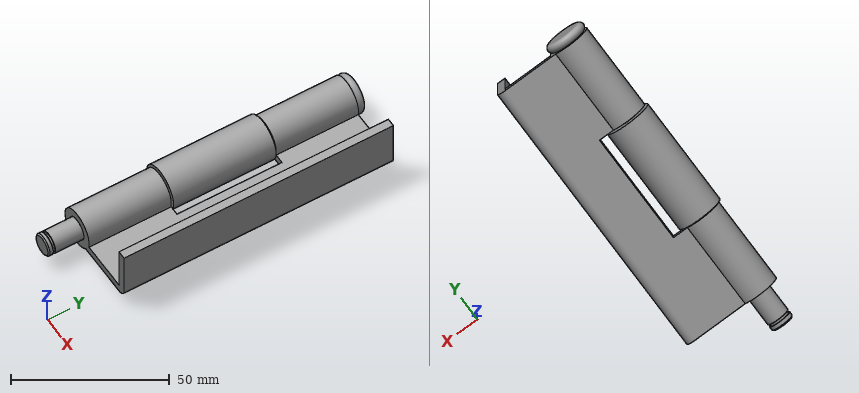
import cadquery as cq


LEAF_LENGTH = 100.0
LEAF_THICKNESS = 3.0
LEAF_BOTTOM = -5.0
LEAF_TOP = LEAF_BOTTOM + LEAF_THICKNESS
FLANGE_OUTER_X = 28.0
FLANGE_INNER_X = FLANGE_OUTER_X - LEAF_THICKNESS
FLANGE_TOP = 15.0
BEND_RADIUS = LEAF_THICKNESS
KNUCKLE_DIAMETER = 14.3
KNUCKLE_RADIUS = KNUCKLE_DIAMETER / 2
KNUCKLE_LENGTH = 30.5
BORE_DIAMETER = 8.2
NOTCH_DEPTH_X = 10.5

SLEEVE_RADIUS = 8.0
SLEEVE_LENGTH = 38.0
SLEEVE_GAP = 0.3

PIN_DIAMETER = 8.0
PIN_RADIUS = PIN_DIAMETER / 2
PIN_PROJECTION = 13.0
PIN_CHAMFER = 0.5
TIP_LENGTH = 1.7
GROOVE_WIDTH = 0.8
GROOVE_DEPTH = 0.5
HEAD_RADIUS = 7.1
HEAD_THICKNESS = 3.0
HEAD_RIM_ROUND = HEAD_THICKNESS / 2


def cylinder(radius, start, length):
    """Cylinder on the hinge axis, from Y = start toward +Y."""
    return cq.Workplane("XZ", origin=(0, start, 0)).circle(radius).extrude(-length)


def make_leaf():
    """Angle-shaped leaf with a knuckle at each end and a notch between them."""
    angle = (
        cq.Workplane("XZ")
        .moveTo(0, LEAF_BOTTOM)
        .lineTo(FLANGE_OUTER_X - BEND_RADIUS, LEAF_BOTTOM)
        .radiusArc((FLANGE_OUTER_X, LEAF_BOTTOM + BEND_RADIUS), -BEND_RADIUS)
        .lineTo(FLANGE_OUTER_X, FLANGE_TOP)
        .lineTo(FLANGE_INNER_X, FLANGE_TOP)
        .lineTo(FLANGE_INNER_X, LEAF_TOP)
        .lineTo(KNUCKLE_RADIUS, LEAF_TOP)
        .lineTo(KNUCKLE_RADIUS, 0)
        .lineTo(0, 0)
        .close()
        .extrude(-LEAF_LENGTH)
    )
    barrel = cylinder(KNUCKLE_RADIUS, 0, LEAF_LENGTH)
    notch_start_x = -KNUCKLE_RADIUS
    notch = cq.Workplane("XY").box(
        NOTCH_DEPTH_X - notch_start_x,
        LEAF_LENGTH - 2 * KNUCKLE_LENGTH,
        2 * KNUCKLE_RADIUS,
        centered=(False, False, True),
    ).translate((notch_start_x, KNUCKLE_LENGTH, 0))
    bore = cylinder(BORE_DIAMETER / 2, 0, LEAF_LENGTH)
    return angle.union(barrel).cut(notch).cut(bore)


def make_sleeve():
    """Plain tube that turns on the pin."""
    start = KNUCKLE_LENGTH + SLEEVE_GAP
    tube = cylinder(SLEEVE_RADIUS, start, SLEEVE_LENGTH)
    return tube.cut(cylinder(PIN_RADIUS, start, SLEEVE_LENGTH))


def make_pin_head():
    """Round head with a semicircular rim."""
    top = LEAF_LENGTH + HEAD_THICKNESS
    flat_radius = HEAD_RADIUS - HEAD_RIM_ROUND
    return (
        cq.Workplane("XY")
        .moveTo(0, LEAF_LENGTH)
        .lineTo(flat_radius, LEAF_LENGTH)
        .threePointArc((HEAD_RADIUS, top - HEAD_RIM_ROUND), (flat_radius, top))
        .lineTo(0, top)
        .close()
        .revolve(360, (0, 0, 0), (0, 1, 0))
    )


def make_pin():
    """Headed pin with a retaining groove near its chamfered tip."""
    shank = cylinder(PIN_RADIUS, -PIN_PROJECTION, PIN_PROJECTION + LEAF_LENGTH)
    shank = shank.faces("<Y").chamfer(PIN_CHAMFER)
    groove_start = TIP_LENGTH - PIN_PROJECTION
    groove = cylinder(PIN_RADIUS, groove_start, GROOVE_WIDTH).cut(
        cylinder(PIN_RADIUS - GROOVE_DEPTH, groove_start, GROOVE_WIDTH)
    )
    return shank.cut(groove).union(make_pin_head())


leaf = make_leaf()
sleeve = make_sleeve()
pin = make_pin()

result = cq.Compound.makeCompound([leaf.val(), sleeve.val(), pin.val()])